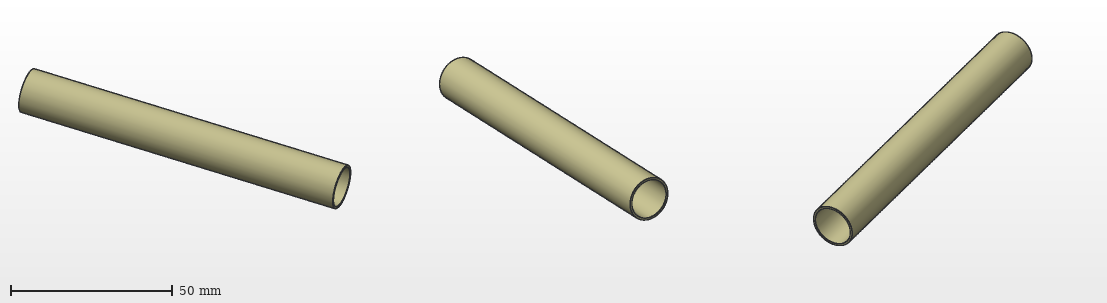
import cadquery as cq

length = 106.2
outer_diameter = 14.2
bore_diameter = 12.6

edge_chamfer = 0.1

tube = (
    cq.Workplane("YZ", origin=(-length / 2, 0, 0))
    .circle(outer_diameter / 2)
    .circle(bore_diameter / 2)
    .extrude(length)
)

end_edges = tube.faces("<X or >X").edges()
result = end_edges.chamfer(edge_chamfer)